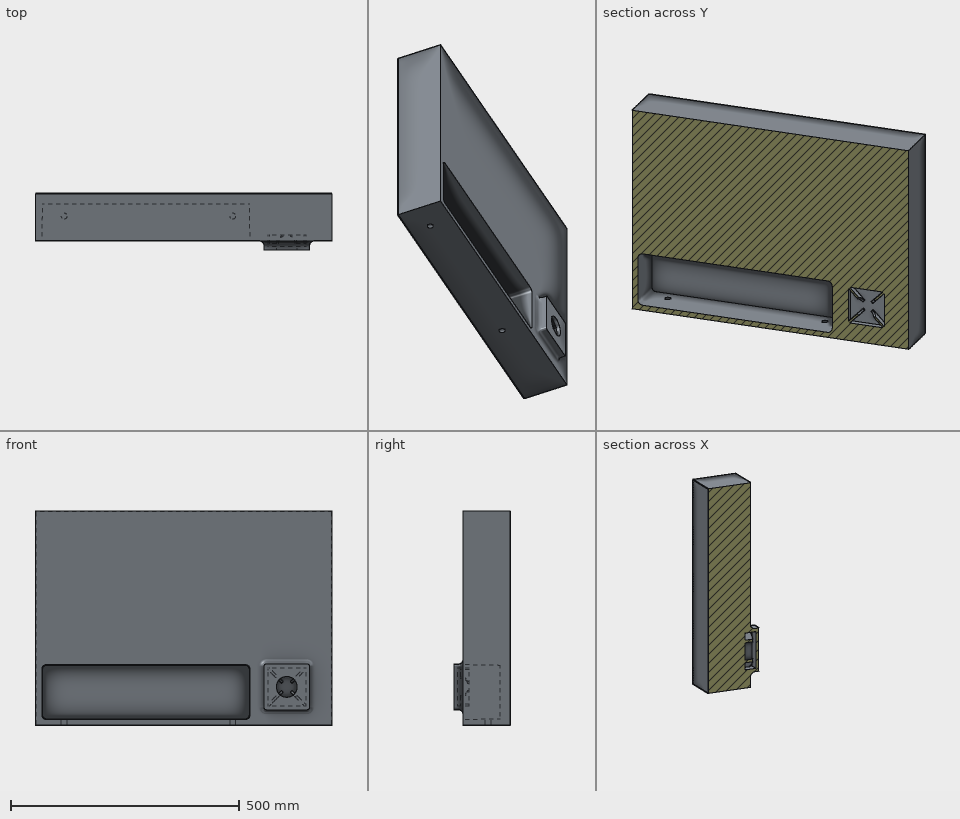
import cadquery as cq
import math


width = 650.0
height = 470.0
overall_depth = 125.0

plate_thickness = 2.0
plate_inset = 1.0

pad_projection = 20.0
pad_size = 100.0
pad_corner_radius = 5.0
pad_fillet_radius = pad_projection / 2
pad_x = 550.5
pad_z = 84.5

housing_depth = overall_depth - pad_projection - plate_thickness

pad_wall = 8.5
window_radius = 23.0
cavity_size = pad_size - 2 * pad_wall
cavity_depth = 25.0
cavity_floor_y = cavity_depth + pad_wall - pad_projection

rib_count = 4
rib_width = 5.0
rib_tip_height = 3.0
rib_inner_radius = 13.5
rib_arc_radius = 15.0

pocket_left = 14.0
pocket_right = 470.0
pocket_bottom = 13.0
pocket_top = 133.0
pocket_depth = 80.5
pocket_corner_radius = 10.5
pocket_draft_angle = 1.0

drain_diameter = 13.0
drain_setback = 54.5
drain_positions_x = (63.0, 432.0)


def front_plane(x, y, z):
    """Sketch plane seen from the front: local Y is up and the normal points to -Y."""
    return cq.Workplane("XZ", origin=(x, y, z))


def make_pad():
    """Square pad with rounded corners, standing on the housing face."""
    pad = front_plane(pad_x, 0, pad_z).rect(pad_size, pad_size).extrude(pad_projection)
    return pad.edges("|Y").fillet(pad_corner_radius)


def make_pocket():
    """Tapered block with rounded corners that is cut out to form the tray pocket."""
    pocket_width = pocket_right - pocket_left
    pocket_height = pocket_top - pocket_bottom
    center_x = (pocket_left + pocket_right) / 2
    center_z = (pocket_bottom + pocket_top) / 2
    outline = cq.Sketch().rect(pocket_width, pocket_height).vertices().fillet(pocket_corner_radius)
    return (
        front_plane(center_x, 0, center_z)
        .placeSketch(outline)
        .extrude(-pocket_depth, taper=pocket_draft_angle)
    )


def make_drain(x):
    """Vertical cutter that passes through the pocket floor and ends inside the pocket."""
    return (
        cq.Workplane("XY", origin=(x, drain_setback, 0))
        .circle(drain_diameter / 2)
        .extrude(pocket_top / 2)
    )


def make_cavity():
    """Square cavity with its round window, less the ribs standing in its corners."""
    cavity = front_plane(pad_x, cavity_floor_y, pad_z).rect(cavity_size, cavity_size).extrude(cavity_depth)
    for index in range(rib_count):
        angle = (index + 0.5) * 360 / rib_count
        cavity = cavity.cut(make_rib(angle))
    window = (
        front_plane(pad_x, cavity_floor_y - cavity_depth, pad_z)
        .circle(window_radius)
        .extrude(pad_wall)
    )
    return cavity.union(window)


def make_rib(angle):
    """Rib along a diagonal, its edge sweeping up from the floor in a concave quarter arc."""
    corner_radius = cavity_size * math.sqrt(0.5)
    arc_end = rib_inner_radius + rib_arc_radius
    diagonal = math.sqrt(0.5)
    tip_y = cavity_floor_y - rib_tip_height
    middle = (
        rib_inner_radius + rib_arc_radius * diagonal,
        tip_y - rib_arc_radius * (1 - diagonal),
    )
    top_y = tip_y - rib_arc_radius
    rib = (
        cq.Workplane("XY")
        .moveTo(rib_inner_radius, cavity_floor_y)
        .lineTo(rib_inner_radius, tip_y)
        .threePointArc(middle, (arc_end, top_y))
        .lineTo(corner_radius, top_y)
        .lineTo(corner_radius, cavity_floor_y)
        .close()
        .extrude(rib_width / 2, both=True)
    )
    return rib.rotate((0, 0, 0), (0, 1, 0), angle).translate((pad_x, 0, pad_z))


def make_housing():
    """Solid block with the pad, its cavity, the tray pocket and the drain holes."""
    block = cq.Workplane("XY").box(width, housing_depth, height, centered=False)
    housing = block.union(make_pad())
    pad_base_edges = cq.selectors.BoxSelector(
        (pad_x - pad_size, -pad_fillet_radius, pad_z - pad_size),
        (pad_x + pad_size, pad_fillet_radius, pad_z + pad_size),
    )
    housing = housing.edges(pad_base_edges).edges("#Y").fillet(pad_fillet_radius)
    housing = housing.cut(make_cavity()).cut(make_pocket())
    for x in drain_positions_x:
        housing = housing.cut(make_drain(x))
    return housing


def make_back_plate():
    """Thin plate covering the back of the housing."""
    return cq.Workplane("XY", origin=(plate_inset, housing_depth, plate_inset)).box(
        width - 2 * plate_inset, plate_thickness, height - 2 * plate_inset, centered=False
    )


housing = make_housing()
back_plate = make_back_plate()

result = cq.Compound.makeCompound([housing.val(), back_plate.val()])